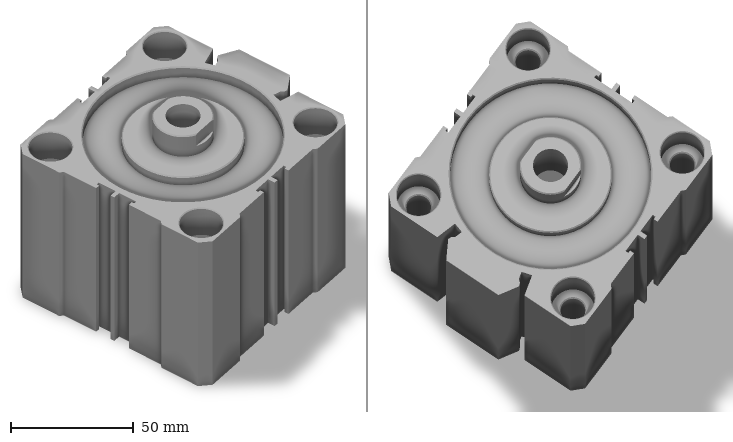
import cadquery as cq


body_half = 49.0
body_height = 78.4
corner_chamfer = 4.3

relief_depth = 1.5
relief_half_width = 26.1
slot_depth = 4.8
slot_half_throat = 8.3
slot_half_width = 9.6
slot_pocket_height = 1.4
rib_half_width = 0.9
slotted_face_angles = (0, 90, -90)

overall_depth = 104.0
rail_top = overall_depth - body_half
rail_top_half_width = 13.0
rail_half_width = 17.7
rail_widest_y = 47.0

notch_mouth_x = 21.7
notch_outer_foot = (19.2, 40.0)
notch_inner_foot = (14.9, 41.4)
notch_hook_bottom = (15.8, 44.6)
notch_hook_top = (17.1, 45.5)

hole_offset = 38.5
hole_diameter = 10.1
hole_chamfer = 0.5
counterbore_diameter = 17.8
counterbore_depth = 14.6
counterbore_chamfer = 0.4

recess_diameter = 82.0
recess_depth = 5.5
recess_chamfer = 0.5
collar_diameter = 49.9
collar_height = 4.5
collar_chamfer = 0.5

rod_diameter = 25.0
rod_top = 88.5
rod_seat = 41.6
rod_chamfer = 0.5
flat_half_width = 11.0
flat_height = 6.5
rod_hole_diameter = 14.2
rod_hole_depth = 26.0


def turned(profile):
    """Solid of revolution about Z from (radius, height) points."""
    return cq.Workplane("XZ").polyline(profile).close().revolve(360, (0, 0, 0), (0, 1, 0))


def prism(points, height):
    """Upright prism standing on Z = 0."""
    return cq.Workplane("XY").polyline(points).close().extrude(height)


def mirrored_pair(half):
    """A shape together with its mirror image across the YZ plane."""
    return half.union(half.mirror("YZ"))


def disc(diameter, bottom, height):
    """Cylinder on the bore axis."""
    return cq.Workplane("XY").workplane(offset=bottom).circle(diameter / 2).extrude(height)


def face_cutter():
    """Relief and ribbed T-slot for the -Y face."""
    outer = -body_half
    relief = outer + relief_depth
    floor = outer + slot_depth
    lip = floor - slot_pocket_height
    relief_bottom_half = relief_half_width - relief_depth
    relief_cut = prism(
        [
            (-relief_half_width, outer),
            (relief_half_width, outer),
            (relief_bottom_half, relief),
            (-relief_bottom_half, relief),
        ],
        body_height,
    )
    half_slot = prism(
        [
            (rib_half_width, relief),
            (slot_half_throat, relief),
            (slot_half_throat, lip),
            (slot_half_width, lip),
            (slot_half_width, floor),
            (rib_half_width, floor),
        ],
        body_height,
    )
    return relief_cut.union(mirrored_pair(half_slot))


def rail_notches():
    """Slanted undercut notches on both sides of the rail."""
    notch = prism(
        [
            (rail_top_half_width, body_half),
            (notch_mouth_x, body_half),
            notch_outer_foot,
            notch_inner_foot,
            notch_hook_bottom,
            notch_hook_top,
            (rail_half_width, rail_widest_y),
        ],
        body_height,
    )
    return mirrored_pair(notch)


def rail():
    """Tapered rail standing out of the +Y face."""
    return prism(
        [
            (-rail_half_width, rail_widest_y),
            (rail_half_width, rail_widest_y),
            (rail_top_half_width, rail_top),
            (-rail_top_half_width, rail_top),
        ],
        body_height,
    )


def mounting_hole_cutter():
    """Counterbored through hole with chamfered edges, as one turned profile."""
    hole_radius = hole_diameter / 2
    bore_radius = counterbore_diameter / 2
    seat = body_height - counterbore_depth
    return turned(
        [
            (0, 0),
            (hole_radius, 0),
            (hole_radius, seat - hole_chamfer),
            (hole_radius + hole_chamfer, seat),
            (bore_radius, seat),
            (bore_radius, body_height - counterbore_chamfer),
            (bore_radius + counterbore_chamfer, body_height),
            (0, body_height),
        ]
    )


def recess_cutter():
    """Round recess with a chamfered rim, leaving the chamfered collar standing."""
    floor = body_height - recess_depth
    radius = recess_diameter / 2
    recess = turned(
        [
            (0, floor),
            (radius, floor),
            (radius, body_height - recess_chamfer),
            (radius + recess_chamfer, body_height),
            (0, body_height),
        ]
    )
    collar = disc(collar_diameter, floor, collar_height).faces(">Z").chamfer(collar_chamfer)
    return recess.cut(collar)


def make_housing():
    """Housing with its grooves, rail, holes, recess and blind rod bore."""
    side = 2 * body_half
    housing = cq.Workplane("XY").rect(side, side).extrude(body_height)
    housing = housing.edges("|Z").chamfer(corner_chamfer)
    for angle in slotted_face_angles:
        housing = housing.cut(face_cutter().rotate((0, 0, 0), (0, 0, 1), angle))
    housing = housing.cut(rail_notches()).union(rail())
    for x in (-hole_offset, hole_offset):
        for y in (-hole_offset, hole_offset):
            housing = housing.cut(mounting_hole_cutter().translate((x, y, 0)))
    housing = housing.cut(recess_cutter())
    return housing.cut(disc(rod_diameter, rod_seat, rod_top - rod_seat))


def make_rod():
    """Rod with a blind axial hole and two wrench flats at its upper end."""
    rod = disc(rod_diameter, rod_seat, rod_top - rod_seat).faces(">Z").chamfer(rod_chamfer)
    rod = rod.cut(disc(rod_hole_diameter, rod_top - rod_hole_depth, rod_hole_depth))
    flat_depth = rod_diameter / 2 - flat_half_width
    flat = (
        cq.Workplane("XY")
        .box(flat_depth, rod_diameter, flat_height, centered=(False, True, False))
        .translate((flat_half_width, 0, rod_top - flat_height))
    )
    return rod.cut(mirrored_pair(flat))


housing = make_housing()
rod = make_rod()
result = cq.Compound.makeCompound([housing.val(), rod.val()])